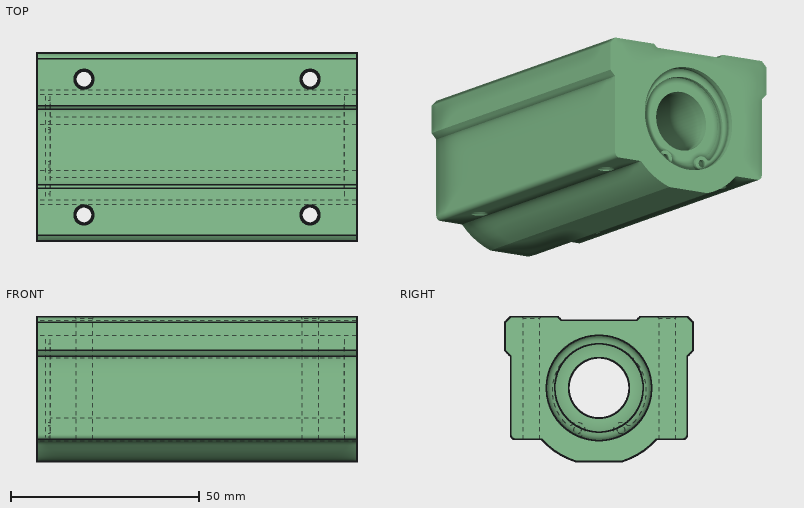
import cadquery as cq
import math

length = 85.0
width = 50.0
height = 38.5
top_z = 18.95
bottom_z = top_z - height
body_half = 23.5
flange_half = width / 2
flange_step = flange_half - body_half
flange_bottom_z = 9.95
shoulder_z = -13.7
foot_radius = 1.3
belly_radius = 20.5
groove_half = 11.0
groove_depth = 0.9

hole_diameter = 4.3
hole_mouth_diameter = 5.2
countersink_angle = 90
hole_pitch_x = 60.0
hole_pitch_y = 36.0

bearing_diameter = 28.0
bearing_bore = 16.0
seal_diameter = 23.5
seal_depth = 0.1
bearing_inset = 3.4

clip_thickness = 1.2
clip_inner_diameter = 24.9
clip_offset = 0.7
lug_diameter = 4.0
lug_hole_diameter = 2.0
lug_blend_radius = 1.0
lug_y = 5.8
lug_z = -11.05


def x_cylinder(diameter, start_x, end_x, y=0.0, z=0.0):
    """Cylinder along X between two stations."""
    axis_start = cq.Vector(start_x, y, z)
    return cq.Workplane(cq.Solid.makeCylinder(diameter / 2, end_x - start_x, axis_start, cq.Vector(1, 0, 0)))


def make_block():
    """Extruded housing profile with side flanges, top groove and rounded belly."""
    belly_start_y = math.sqrt(belly_radius**2 - shoulder_z**2)
    belly_end_y = math.sqrt(belly_radius**2 - bottom_z**2)
    middle_angle = (math.atan2(shoulder_z, belly_start_y) + math.atan2(bottom_z, belly_end_y)) / 2
    belly_middle_y = belly_radius * math.cos(middle_angle)
    belly_middle_z = belly_radius * math.sin(middle_angle)
    half = (
        cq.Workplane("YZ", origin=(-length / 2, 0, 0))
        .moveTo(0, top_z - groove_depth)
        .lineTo(groove_half - groove_depth, top_z - groove_depth)
        .lineTo(groove_half, top_z)
        .lineTo(body_half, top_z)
        .lineTo(flange_half, top_z - flange_step)
        .lineTo(flange_half, flange_bottom_z)
        .lineTo(body_half, flange_bottom_z - flange_step)
        .lineTo(body_half, shoulder_z + foot_radius)
        .radiusArc((body_half - foot_radius, shoulder_z), foot_radius)
        .lineTo(belly_start_y, shoulder_z)
        .threePointArc((belly_middle_y, belly_middle_z), (belly_end_y, bottom_z))
        .lineTo(0, bottom_z)
        .close()
        .extrude(length)
    )
    return half.union(half.mirror("XZ")).clean()


def make_housing():
    """Block with the bearing bore and four mounting holes countersunk at the top."""
    block = make_block().cut(x_cylinder(bearing_diameter, -length / 2, length / 2))
    return (
        block.faces(">Z")
        .workplane(origin=(0, 0, top_z))
        .rarray(hole_pitch_x, hole_pitch_y, 2, 2)
        .cskHole(hole_diameter, hole_mouth_diameter, countersink_angle)
    )


def make_bearing():
    """Linear bearing with a shallow seal recess at each end."""
    end_x = length / 2 - bearing_inset
    bearing = x_cylinder(bearing_diameter, -end_x, end_x)
    bearing = bearing.cut(x_cylinder(bearing_bore, -end_x, end_x))
    bearing = bearing.cut(x_cylinder(seal_diameter, -end_x, seal_depth - end_x))
    return bearing.cut(x_cylinder(seal_diameter, end_x - seal_depth, end_x))


def make_circlip():
    """Eccentric ring, open at the bottom between two pierced lugs."""
    end_x = bearing_inset - length / 2
    start_x = end_x - clip_thickness
    bore_fill = x_cylinder(bearing_diameter, start_x, end_x)
    clip = bore_fill.cut(x_cylinder(clip_inner_diameter, start_x, end_x, z=-clip_offset))
    gap = (
        cq.Workplane("XY", origin=(start_x, 0, -bearing_diameter / 2))
        .box(clip_thickness, 2 * lug_y, bearing_diameter / 2, centered=(False, True, False))
    )
    clip = clip.cut(gap)
    for side in (-1, 1):
        lug = x_cylinder(lug_diameter, start_x, end_x, side * lug_y, lug_z)
        clip = clip.union(lug.intersect(bore_fill))
    for side in (-1, 1):
        lug_flank = (start_x + clip_thickness / 2, side * (lug_y + lug_diameter / 2), lug_z)
        inner_corner = clip.edges("|X").edges(cq.NearestToPointSelector(lug_flank))
        clip = inner_corner.fillet(lug_blend_radius)
    for side in (-1, 1):
        clip = clip.cut(x_cylinder(lug_hole_diameter, start_x, end_x, side * lug_y, lug_z))
    return clip


housing = make_housing()
bearing = make_bearing()
circlip = make_circlip()

result = cq.Compound.makeCompound([housing.val(), bearing.val(), circlip.val()])